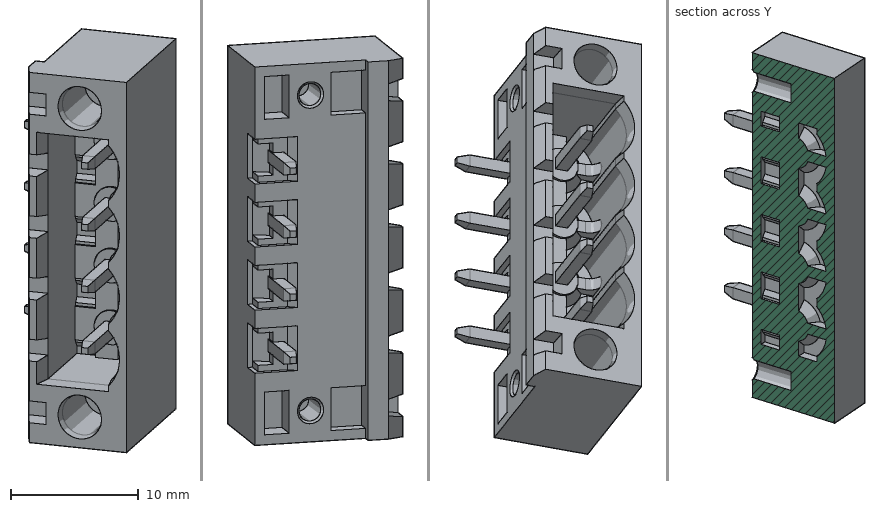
import cadquery as cq
import math


LENGTH = 30.48
POLES = 4
PITCH = LENGTH / (POLES + 2)
WIDTH = 7.83
DEPTH = 12.0
LIP_HEIGHT = 0.73
LIP_DEPTH = 3.0
LIP_NOSE_HEIGHT = 0.2
MOUTH_DEPTH = 1.3

POLE_Z = [PITCH * (i - (POLES - 1) / 2) for i in range(POLES)]
FLANGE_Z = [POLE_Z[0] - PITCH, POLE_Z[-1] + PITCH]
AXIS_X = 3.95

CAVITY_LEFT = 0.88
CAVITY_RIGHT = 6.13
CAVITY_HALF_LENGTH = 10.27
FLARE_LEFT = 0.5
FLARE_RIGHT = 0.2
FLARE_END = 0.1
SCALLOP_RADIUS = 3.08
FLOOR_Y = 8.53
SHELF_Y = 7.77
SHELF_RIGHT = 4.45

SEAT_BASE_RADIUS = 2.07
SEAT_TOP_RADIUS = 1.4
SEAT_RISE = 0.2

RECESS_RIGHT = 2.6
RECESS_HALF_WIDTH = 1.15
RECESS_SLOPE_HALF_WIDTH = 0.9
RECESS_FLOOR_HALF_WIDTH = 0.52
RECESS_STEP = 0.2
RECESS_DEPTH = 0.52

NOTCH_WIDTH = 1.8
NOTCH_NARROWING = 0.2
FLANGE_NOTCH_END = 1.15

PIN_SIZE = 1.0
PIN_POINT_SIZE = 0.52
PIN_POINT_LENGTH = 0.98
PIN_REACH = 3.95
PIN_TIP_Y = 1.2
LEG_Y = 10.0

POCKET_WIDTH = 3.6
POCKET_DEPTH = 0.5
POCKET_FRONT_Y = 8.53
POCKET_SLOPE_END_Y = 9.2
RAMP_WIDTH = 2.6
RAMP_FRONT_Y = 10.4
RAMP_FRONT_DEPTH = 1.52
REBATE_FRONT_Y = 11.6
REBATE_DEPTH = 2.1

SCREW_RADIUS = 1.68
SCREW_MOUTH_RADIUS = 1.8
SCREW_MOUTH_DEPTH = 0.7
SCREW_DEPTH = 6.1
PILOT_Y = 7.47
PILOT_RADIUS = 0.88
PILOT_DEPTH = 3.65
PILOT_CHAMFER = 0.18
WINDOW_WIDTH = 3.45
REAR_WINDOW_Y = (9.2, 11.22)
REAR_WINDOW_DEPTH = 2.1
FRONT_WINDOW_Y = (LIP_DEPTH, 5.8)
FRONT_WINDOW_DEPTH = 1.13

ALONG_Y = cq.Vector(0, 1, 0)


def block(x_range, y_range, z_range):
    """Box given by its limits along the three axes."""
    sizes = [high - low for low, high in (x_range, y_range, z_range)]
    corner = (x_range[0], y_range[0], z_range[0])
    return cq.Workplane("XY").box(*sizes, centered=False).translate(corner)


def slab(points, width, z):
    """Prism with an XY outline, centred on height z."""
    return cq.Workplane("XY").polyline(points).close().extrude(width / 2, both=True).translate((0, 0, z))


def round_y(radius, y_start, y_end, z, end_radius=None):
    """Cylinder along Y on the contact line at height z, or a cone when an end radius is given."""
    start = cq.Vector(AXIS_X, y_start, z)
    length = y_end - y_start
    if end_radius is None:
        return cq.Workplane(cq.Solid.makeCylinder(radius, length, start, ALONG_Y))
    return cq.Workplane(cq.Solid.makeCone(radius, end_radius, length, start, ALONG_Y))


def body():
    outline = [
        (-LIP_NOSE_HEIGHT, 0),
        (WIDTH, 0),
        (WIDTH, DEPTH),
        (0, DEPTH),
        (0, LIP_DEPTH),
        (-LIP_HEIGHT, LIP_DEPTH),
        (-LIP_HEIGHT, MOUTH_DEPTH),
    ]
    return slab(outline, LENGTH, 0)


def flared_hollow(left, right, right_flare):
    """Rectangular hollow down to the floor, widening towards the mating face."""
    open_left = left - FLARE_LEFT
    open_right = right + right_flare
    open_half_length = CAVITY_HALF_LENGTH + FLARE_END
    mouth = (
        cq.Workplane("XZ")
        .center((open_left + open_right) / 2, 0)
        .rect(open_right - open_left, 2 * open_half_length)
        .workplane(offset=-MOUTH_DEPTH, origin=((left + right) / 2, 0, 0))
        .rect(right - left, 2 * CAVITY_HALF_LENGTH)
        .loft(ruled=True)
    )
    straight = block((left, right), (MOUTH_DEPTH, FLOOR_Y), (-CAVITY_HALF_LENGTH, CAVITY_HALF_LENGTH))
    return mouth.union(straight)


def cavity():
    """Flared hollow with one round scallop per pole on the side away from the mounting face."""
    hollow = flared_hollow(CAVITY_LEFT, CAVITY_RIGHT, FLARE_RIGHT)
    scallop_side = flared_hollow(AXIS_X, WIDTH, 0)
    for z in POLE_Z:
        flare = round_y(SCALLOP_RADIUS + FLARE_RIGHT, 0, MOUTH_DEPTH, z, SCALLOP_RADIUS)
        straight = round_y(SCALLOP_RADIUS, MOUTH_DEPTH, FLOOR_Y, z)
        hollow = hollow.union(flare.union(straight).intersect(scallop_side))
    return hollow


def shelf():
    return block((CAVITY_LEFT, SHELF_RIGHT), (SHELF_Y, FLOOR_Y), (-CAVITY_HALF_LENGTH, CAVITY_HALF_LENGTH))


def coding_recess(z):
    step_y = SHELF_Y + RECESS_STEP
    bottom_y = SHELF_Y + RECESS_DEPTH
    upper_half = [
        (RECESS_HALF_WIDTH, SHELF_Y),
        (RECESS_HALF_WIDTH, step_y),
        (RECESS_SLOPE_HALF_WIDTH, step_y),
        (RECESS_FLOOR_HALF_WIDTH, bottom_y),
    ]
    lower_half = [(-offset, y) for offset, y in reversed(upper_half)]
    profile = [(y, z + offset) for offset, y in upper_half + lower_half]
    length = RECESS_RIGHT - CAVITY_LEFT
    prism = cq.Workplane("YZ", origin=(CAVITY_LEFT, 0, 0)).polyline(profile).close().extrude(length)
    within = block((0, WIDTH), (0, DEPTH), (-CAVITY_HALF_LENGTH, CAVITY_HALF_LENGTH))
    return prism.intersect(within)


def contact_seat(z):
    """Raised cone with a round land, tied to the scalloped wall by a rib."""
    cone = round_y(SEAT_TOP_RADIUS, SHELF_Y, FLOOR_Y, z, SEAT_BASE_RADIUS)
    land = round_y(SEAT_TOP_RADIUS, SHELF_Y - SEAT_RISE, FLOOR_Y, z)

    bend_x = AXIS_X + SEAT_BASE_RADIUS
    wall_x = AXIS_X + SCALLOP_RADIUS
    bend_radius = wall_x - bend_x
    half_bend = math.radians(45)
    bend_middle = (
        bend_x + bend_radius * math.sin(half_bend),
        SHELF_Y - bend_radius * (1 - math.cos(half_bend)),
    )
    rib = (
        cq.Workplane("XY")
        .moveTo(AXIS_X, FLOOR_Y)
        .lineTo(AXIS_X, SHELF_Y)
        .lineTo(bend_x, SHELF_Y)
        .threePointArc(bend_middle, (wall_x, SHELF_Y - bend_radius))
        .lineTo(wall_x, FLOOR_Y)
        .close()
        .extrude(PIN_SIZE / 2, both=True)
        .translate((0, 0, z))
    )
    return cone.union(land).union(rib)


def lip_notch(z, end_x):
    """Notch through the lip whose flanks and end close in with depth."""
    start_x = -2 * LIP_HEIGHT
    taper = math.degrees(math.atan(NOTCH_NARROWING / MOUTH_DEPTH))
    return (
        cq.Workplane("XZ")
        .center((start_x + end_x) / 2, z)
        .rect(end_x - start_x, NOTCH_WIDTH)
        .extrude(-MOUTH_DEPTH, taper=taper)
    )


def pin_bar(length):
    """Square bar rising from the origin along Z, ending in a blunt point."""
    shank = cq.Workplane("XY").rect(PIN_SIZE, PIN_SIZE).extrude(length - PIN_POINT_LENGTH)
    point = (
        shank.faces(">Z")
        .workplane()
        .rect(PIN_SIZE, PIN_SIZE)
        .workplane(offset=PIN_POINT_LENGTH)
        .rect(PIN_POINT_SIZE, PIN_POINT_SIZE)
        .loft(ruled=True, combine=False)
    )
    return shank.union(point)


def pin(z):
    """Right-angled pin: a contact along Y and a solder leg along X."""
    contact = pin_bar(LEG_Y - PIN_TIP_Y).rotate((0, 0, 0), (1, 0, 0), 90)
    leg = pin_bar(AXIS_X + PIN_REACH).rotate((0, 0, 0), (0, 1, 0), -90)
    return contact.union(leg).translate((AXIS_X, LEG_Y, z))


def leg_pocket(z):
    """Shallow pocket around a solder leg, with a ramp and a rebate open to the rear."""
    shallow = [
        (0, POCKET_FRONT_Y),
        (POCKET_DEPTH, POCKET_SLOPE_END_Y),
        (POCKET_DEPTH, DEPTH),
        (0, DEPTH),
    ]
    ramp = [
        (0, RAMP_FRONT_Y),
        (RAMP_FRONT_DEPTH, RAMP_FRONT_Y),
        (REBATE_DEPTH, REBATE_FRONT_Y),
        (0, REBATE_FRONT_Y),
    ]
    half_width = POCKET_WIDTH / 2
    rebate = block((0, REBATE_DEPTH), (REBATE_FRONT_Y, DEPTH), (z - half_width, z + half_width))
    return slab(shallow, POCKET_WIDTH, z).union(slab(ramp, RAMP_WIDTH, z)).union(rebate)


def flange_cuts(z):
    """Screw hole, pilot hole, two windows and the lip notch of one flange."""
    screw = round_y(SCREW_RADIUS, 0, SCREW_DEPTH, z)
    screw_mouth = round_y(SCREW_MOUTH_RADIUS, 0, SCREW_MOUTH_DEPTH, z, SCREW_RADIUS)
    pilot = cq.Workplane("YZ").center(PILOT_Y, z).circle(PILOT_RADIUS).extrude(PILOT_DEPTH)
    countersink = (
        cq.Workplane("YZ")
        .center(PILOT_Y, z)
        .circle(PILOT_RADIUS + PILOT_CHAMFER)
        .extrude(PILOT_CHAMFER, taper=45)
    )
    z_range = (z - WINDOW_WIDTH / 2, z + WINDOW_WIDTH / 2)
    rear_window = block((0, REAR_WINDOW_DEPTH), REAR_WINDOW_Y, z_range)
    front_window = block((0, FRONT_WINDOW_DEPTH), FRONT_WINDOW_Y, z_range)
    notch = lip_notch(z, FLANGE_NOTCH_END)
    cuts = screw
    for cut in (screw_mouth, pilot, countersink, rear_window, front_window, notch):
        cuts = cuts.union(cut)
    return cuts


housing = body().cut(cavity()).union(shelf())
for gap in range(POLES + 1):
    housing = housing.cut(coding_recess(PITCH * (gap - POLES / 2)))
for flange_z in FLANGE_Z:
    housing = housing.cut(flange_cuts(flange_z))

for pole_z in POLE_Z:
    housing = housing.union(contact_seat(pole_z))
    housing = housing.cut(lip_notch(pole_z, CAVITY_LEFT + NOTCH_NARROWING))
    housing = housing.cut(leg_pocket(pole_z))
    housing = housing.union(pin(pole_z))

result = housing